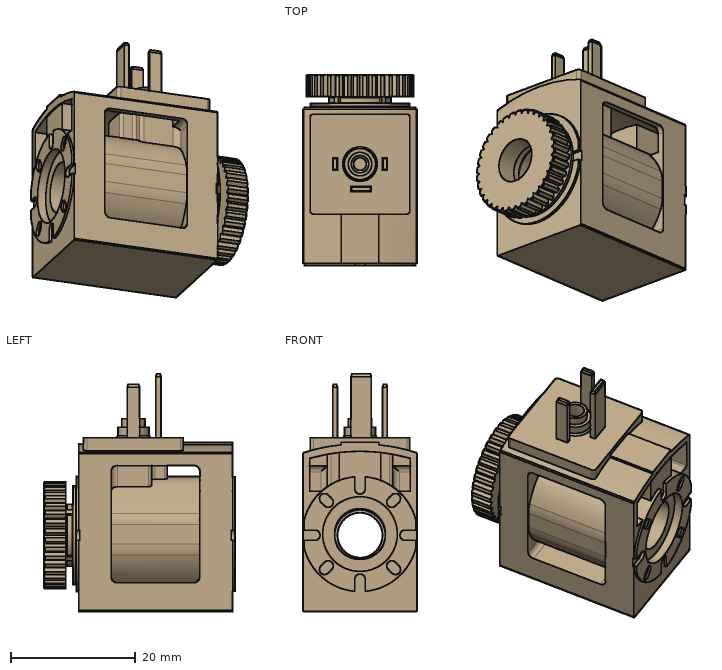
import cadquery as cq
import math


low_axis_z = -0.2

housing_width = 18.4
housing_length = 24.75
housing_bottom = -12.47
roof_radius = 30.25
roof_centre_z = -15.75
roof_chamfer = 0.2
bottom_chamfer = 0.1
bottom_chamfer_height = 0.23
rib_width = 5.95
rib_top = 14.73

window_front = 5.28
window_back = 19.55
window_bottom = -7.85
window_top = 11.0
window_radius = 1.0

pocket_width = 16.18
pocket_bottom = 6.85
pocket_radius = 0.2
roof_thickness = 1.2
pocket_depth = window_back - window_radius

coil_radius = 9.25
coil_width = 17.95
flange_thickness = 0.4
bobbin_edge_radius = 4.97
bore_diameter = 8.2
recess_diameter = 12.0
recess_depth = 1.4

slot_width = 1.65
slot_inner_end = 6.43
shallow_slot_depth = flange_thickness
deep_slot_depth = 0.57
oval_circle_radius = 7.65
oval_count = 4
oval_start_angle = 45
oval_length = 2.45

block_width = 10.55
block_front = 13.0
block_edge_radius = 0.55
step_width = 5.5
step_front = 10.48
step_edge_radius = 0.5
bridge_width = 6.75
bridge_front = deep_slot_depth - flange_thickness
block_top = roof_centre_z + roof_radius - roof_thickness

plate_size = 16.05
plate_top = 15.5
plate_bottom = 13.35
plate_front = 7.9
plate_radius = 0.55
plate_centre_y = plate_front + plate_size / 2
pin_chamfer = 0.15
pin_chamfer_height = 0.45
main_pin_width = 3.3
main_pin_thickness = 0.88
main_pin_x = 0.2
main_pin_y = 11.95
main_pin_top = 25.78
side_pin_thickness = 0.8
side_pin_width = 2.03
side_pin_x = 4.0
side_pin_top = 24.1
boss_diameter = 5.0
boss_top = 17.2
boss_foot = 0.25
boss_foot_height = 0.35
collar_diameter = 3.8
collar_top = 18.55
screw_hole_diameter = 2.8
screw_hole_floor_diameter = 2.03
screw_hole_floor = plate_top
screw_hole_cone_height = 0.4

seat_diameter = 15.25
seat_thickness = 0.1
disc_diameter = 16.0
disc_thickness = 0.45
neck_band_diameter = 10.0
neck_length = 1.1
neck_core_diameter = 9.8
neck_front_groove = 0.1
neck_back_groove = 0.2
lug_count = 4
lug_radius = 5.4
lug_width = 0.9
knob_diameter = 17.3
knob_length = 3.5
knob_root_diameter = 16.0
knob_chamfer = 0.2
groove_count = 36
groove_width = 0.88
nut_bore_diameter = 7.2
nut_counterbore_diameter = 8.15

coil_back = housing_length + flange_thickness


def facing_back(y, z=0):
    """Workplane across the bore axis whose sketches are extruded with a negative length toward +Y."""
    return cq.Workplane("XZ", origin=(0, y, z))


def box_between(width, y_front, y_back, z_bottom, z_top):
    """Box centred on x = 0."""
    return (
        facing_back(y_front, (z_bottom + z_top) / 2)
        .rect(width, z_top - z_bottom)
        .extrude(y_front - y_back)
    )


def cylinder_along_y(diameter, y_front, y_back):
    """Cylinder on the bore axis."""
    return facing_back(y_front).circle(diameter / 2).extrude(y_front - y_back)


def arched_prism(width, z_bottom, arch_radius, length):
    """Prism along Y with straight sides and a top rounded about the roof centre."""
    shoulder = roof_centre_z + math.sqrt(arch_radius**2 - (width / 2) ** 2)
    return (
        facing_back(0)
        .moveTo(-width / 2, z_bottom)
        .lineTo(-width / 2, shoulder)
        .threePointArc((0, roof_centre_z + arch_radius), (width / 2, shoulder))
        .lineTo(width / 2, z_bottom)
        .close()
        .extrude(-length)
    )


def make_housing():
    """Arched block with chamfered long edges and a flat rib along the front of its roof."""
    block = arched_prism(housing_width, housing_bottom, roof_radius, housing_length)
    block = block.edges("|Y and (>X or <X) and (not <Z)").chamfer(roof_chamfer)
    chamfer_points = [(0, 0), (bottom_chamfer, 0), (0, bottom_chamfer_height)]
    for side in (-1, 1):
        corner = [
            (side * (x - housing_width / 2), z + housing_bottom) for x, z in chamfer_points
        ]
        block = block.cut(facing_back(0).polyline(corner).close().extrude(-housing_length))
    rib = box_between(rib_width, 0, plate_front, plate_bottom, rib_top)
    return block.union(rib)


def make_window():
    return (
        box_between(housing_width, window_front, window_back, window_bottom, window_top)
        .edges("|X")
        .fillet(window_radius)
    )


def make_front_pocket():
    pocket = arched_prism(pocket_width, pocket_bottom, roof_radius - roof_thickness, pocket_depth)
    return pocket.edges("|Y and <Z").fillet(pocket_radius)


def make_terminal_blocks():
    """Block on the back wall of the window, a narrower step on it, and a bridge at the front."""
    half_block = block_width / 2
    half_step = step_width / 2
    outline = (
        cq.Workplane("XY")
        .moveTo(-half_block - window_radius, window_back)
        .radiusArc((-half_block, window_back - window_radius), window_radius)
        .lineTo(-half_block, block_front + block_edge_radius)
        .radiusArc((-half_block + block_edge_radius, block_front), -block_edge_radius)
        .lineTo(-half_step - step_edge_radius, block_front)
        .radiusArc((-half_step, block_front - step_edge_radius), step_edge_radius)
        .lineTo(-half_step, step_front + step_edge_radius)
        .radiusArc((-half_step + step_edge_radius, step_front), -step_edge_radius)
        .lineTo(0, step_front)
        .lineTo(0, window_back)
        .close()
    )
    half = outline.extrude(block_top)
    block = half.union(half.mirror("YZ"))
    bridge = box_between(bridge_width, bridge_front, window_front, 0, block_top)
    return block.union(bridge)


def make_bobbin():
    """Round bobbin with flattened, softened sides, and a sharp-edged flange at each end."""
    flat_sides = box_between(coil_width, -flange_thickness, coil_back, -coil_radius, coil_radius)
    core = cylinder_along_y(2 * coil_radius, 0, housing_length).intersect(flat_sides)
    core = core.edges("|Y").fillet(bobbin_edge_radius)
    front_flange = cylinder_along_y(2 * coil_radius, -flange_thickness, 0)
    back_flange = cylinder_along_y(2 * coil_radius, housing_length, coil_back)
    flanges = front_flange.union(back_flange).intersect(flat_sides)
    return core.union(flanges)


def make_slot(depth, y_front):
    """Radial slot pointing up, open outward and rounded at its inner end."""
    outer = coil_radius + slot_width
    straight_start = slot_inner_end + slot_width / 2
    return (
        facing_back(y_front)
        .moveTo(-slot_width / 2, outer)
        .lineTo(-slot_width / 2, straight_start)
        .threePointArc((0, slot_inner_end), (slot_width / 2, straight_start))
        .lineTo(slot_width / 2, outer)
        .close()
        .extrude(-depth)
    )


def cut_flange_slots(coil):
    """Cut the top and bottom slots, a pair of side slots at each end, and the radial ovals."""
    bore_axis = ((0, 0, 0), (0, 1, 0))
    front = -flange_thickness
    for angle, depth in ((0, deep_slot_depth), (180, shallow_slot_depth)):
        coil = coil.cut(make_slot(depth, front).rotate(*bore_axis, angle))
    for angle in (90, 270):
        for y_front in (front, coil_back - deep_slot_depth):
            slot = make_slot(deep_slot_depth, y_front).rotate(*bore_axis, angle)
            coil = coil.cut(slot.translate((0, 0, low_axis_z)))
    ovals = (
        facing_back(front)
        .polarArray(oval_circle_radius, oval_start_angle, 360, oval_count)
        .slot2D(oval_length, slot_width)
        .extrude(-shallow_slot_depth)
    )
    return coil.cut(ovals)


def make_plate():
    plate = box_between(plate_size, plate_front, plate_front + plate_size, plate_bottom, plate_top)
    return plate.edges("|Z").fillet(plate_radius)


def make_pin(x, y, size_x, size_y, top):
    """Flat contact pin with a tapered tip."""
    shoulder = top - pin_chamfer_height
    shaft = (
        cq.Workplane("XY", origin=(x, y, plate_top))
        .rect(size_x, size_y)
        .extrude(shoulder - plate_top)
    )
    tip = (
        cq.Workplane("XY", origin=(x, y, shoulder))
        .rect(size_x, size_y)
        .workplane(offset=pin_chamfer_height)
        .rect(size_x - 2 * pin_chamfer, size_y - 2 * pin_chamfer)
        .loft(ruled=True)
    )
    return shaft.union(tip)


def make_screw_boss():
    """Stepped boss, turned about its own axis, with a flared foot."""
    boss_radius = boss_diameter / 2
    return (
        cq.Workplane("XZ")
        .moveTo(0, plate_top)
        .lineTo(boss_radius + boss_foot, plate_top)
        .lineTo(boss_radius, plate_top + boss_foot_height)
        .lineTo(boss_radius, boss_top)
        .lineTo(collar_diameter / 2, boss_top)
        .lineTo(collar_diameter / 2, collar_top)
        .lineTo(0, collar_top)
        .close()
        .revolve(360, (0, 0), (0, 1))
        .translate((0, plate_centre_y, 0))
    )


def make_screw_hole():
    """Blind hole that narrows to a smaller floor."""
    return (
        cq.Workplane("XZ")
        .moveTo(0, screw_hole_floor)
        .lineTo(screw_hole_floor_diameter / 2, screw_hole_floor)
        .lineTo(screw_hole_diameter / 2, screw_hole_floor + screw_hole_cone_height)
        .lineTo(screw_hole_diameter / 2, collar_top)
        .lineTo(0, collar_top)
        .close()
        .revolve(360, (0, 0), (0, 1))
        .translate((0, plate_centre_y, 0))
    )


def make_coil():
    coil = make_housing().cut(make_window()).cut(make_front_pocket())
    coil = coil.union(make_terminal_blocks()).union(make_bobbin())
    coil = coil.cut(cylinder_along_y(bore_diameter, -flange_thickness, coil_back))
    recess_floor = recess_depth - flange_thickness
    coil = coil.cut(cylinder_along_y(recess_diameter, -flange_thickness, recess_floor))
    coil = cut_flange_slots(coil)
    coil = coil.union(make_plate()).union(make_screw_boss())
    coil = coil.union(
        make_pin(main_pin_x, main_pin_y, main_pin_width, main_pin_thickness, main_pin_top)
    )
    for x in (-side_pin_x, side_pin_x):
        coil = coil.union(
            make_pin(x, plate_centre_y, side_pin_thickness, side_pin_width, side_pin_top)
        )
    return coil.cut(make_screw_hole())


def polar_point(radius, angle):
    """Point at an angle measured clockwise from straight up."""
    return (radius * math.sin(angle), radius * math.cos(angle))


def make_knob(y_front):
    """Knob with V grooves around its rim and a chamfered back edge."""
    y_back = y_front + knob_length
    knob = cylinder_along_y(knob_diameter, y_front, y_back)
    knob = knob.faces(">Y").edges().chamfer(knob_chamfer)
    radius = knob_diameter / 2
    half_mouth_angle = math.asin(groove_width / knob_diameter)
    pitch_angle = 2 * math.pi / groove_count
    rim = facing_back(y_front).moveTo(*polar_point(radius, half_mouth_angle))
    for index in range(1, groove_count + 1):
        groove_angle = index * pitch_angle
        land_middle = polar_point(radius, groove_angle - pitch_angle / 2)
        land_end = polar_point(radius, groove_angle - half_mouth_angle)
        rim = rim.threePointArc(land_middle, land_end)
        rim = rim.lineTo(*polar_point(knob_root_diameter / 2, groove_angle))
        rim = rim.lineTo(*polar_point(radius, groove_angle + half_mouth_angle))
    toothed_prism = rim.close().extrude(-knob_length)
    return knob.intersect(toothed_prism)


def make_nut():
    """Seat, disc, grooved neck with lugs, and knob on one axis, bored through."""
    disc_front = coil_back + seat_thickness
    neck_front = disc_front + disc_thickness
    knob_front = neck_front + neck_length
    knob_back = knob_front + knob_length
    band_front = neck_front + neck_front_groove
    band_back = knob_front - neck_back_groove
    nut = cylinder_along_y(seat_diameter, coil_back, disc_front)
    nut = nut.union(cylinder_along_y(disc_diameter, disc_front, neck_front))
    nut = nut.union(cylinder_along_y(neck_core_diameter, neck_front, knob_front))
    nut = nut.union(cylinder_along_y(neck_band_diameter, band_front, band_back))
    lug_root = neck_core_diameter / 2 - lug_width
    lug = box_between(lug_width, neck_front, knob_front, lug_root, lug_radius)
    for index in range(lug_count):
        angle = 360 / lug_count * (index + 0.5)
        nut = nut.union(lug.rotate((0, 0, 0), (0, 1, 0), angle))
    nut = nut.union(make_knob(knob_front))
    nut = nut.cut(cylinder_along_y(nut_bore_diameter, coil_back, knob_back))
    nut = nut.cut(cylinder_along_y(nut_counterbore_diameter, coil_back, knob_front))
    return nut.translate((0, 0, low_axis_z))


coil = make_coil()
nut = make_nut()
result = cq.Compound.makeCompound([coil.val(), nut.val()])